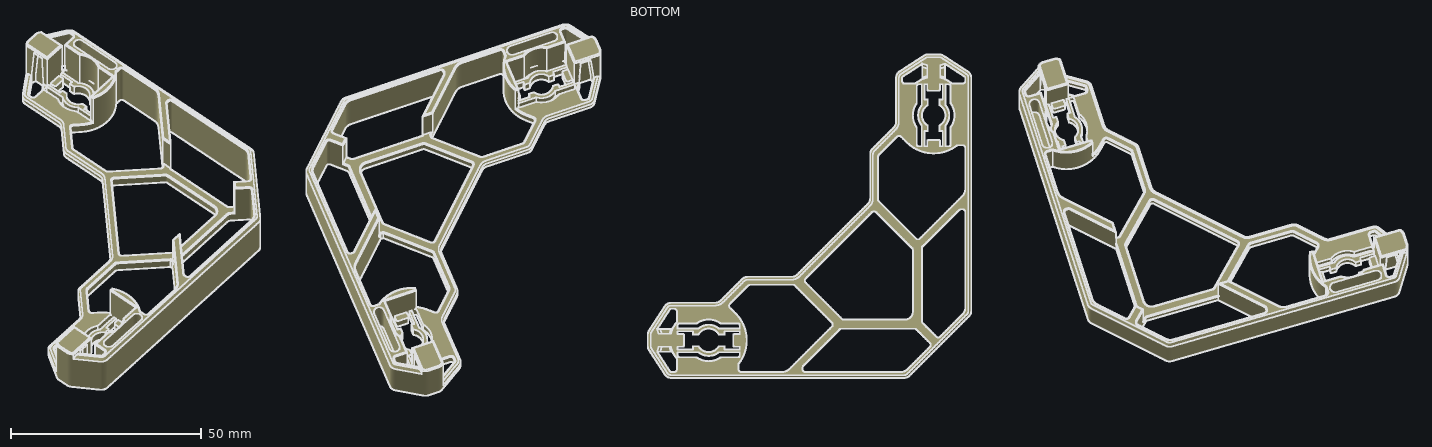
import cadquery as cq
import math

SIDE = 85.0
BLOCK_TOP = 14.6
WALL_TOP = 13.35
FLOOR_TOP = 3.1
TOP_CHAMFER = 0.85
BOTTOM_CHAMFER = 0.8
FLOOR_CHAMFER = 0.6
BLOCK_CHAMFER = 0.3
CORNER_RADIUS = 2.0
CELL_RADIUS = 0.7
STRUT_RADIUS = 3.0
RIM_RADIUS = 2.5
SLOT_CORNER_RADIUS = 0.4
EDGE_CHAMFER = 0.25

PAD_HALF = 9.9
PAD_Y = SIDE - PAD_HALF
END_TAPER = 5.1
END_HALF = 2.0
CORNER_CUT = 68.2
LOW_BAR_Y = 58.4
STEP_SUM = 83.8
INNER_SUM = 97.1

WALL = 1.6
RIM_STOCK = 1.5 * WALL
STRUT_STOCK = 2.55
LOW_BAR = 2.1
SLOPED_BAR = 2.4
FRAME_OUT = 72.1
FRAME_IN = 69.6
LINK_OUT = 22.1
LINK_IN = 18.45
LINK_TIP_X = 48.5
STRUT_LOW = 119.85
STRUT_HIGH = 122.7
STRUT_BLUNT_X = 40.7
CORNER_STRUT_SPAN = 1.7
CORNER_STRUT_END = 144.7

BLOCK_LENGTH = 7.9
BLOCK_HALF = 3.02
PAD_END_X = 24.1
PAD_X = (BLOCK_LENGTH + PAD_END_X) / 2
PAD_RADIUS = 10.0
PAD_WALL_END_X = 23.9
SLOT_HALF = 4.4
SLOT_RADIUS = 5.4
CLIP_HALF = 3.15
CLIP_RADIUS = 4.12
CLIP_BAR = 0.8
CLIP_HOLE_RADIUS = 3.1
LUG_REACH = 4.2
LUG_GAP_HALF = 1.49
TAB_LENGTH = 1.7
TAB_HALF = 1.7
END_WINDOW_X = 7.65
GUSSET_WIDTH = 1.2
GUSSET_LENGTH = 1.9

POCKET_START_X = 8.9
POCKET_END_X = 22.95
POCKET_WIDTH = 2.7
POCKET_Y = 82.1

RECESS_START_X = 2.5
RECESS_END_X = 6.55
RECESS_TOP = 13.3
RECESS_TAPER = 0.85
RECESS_DEPTH = 1.3
RECESS_DRAFT = 18.0


def prism(points, height, base=0.0):
    return cq.Workplane("XY").workplane(offset=base).polyline(points).close().extrude(height)


def box(x0, x1, y0, y1, top):
    return prism([(x0, y0), (x1, y0), (x1, y1), (x0, y1)], top)


def cylinder(radius, height):
    return cq.Workplane("XY").center(PAD_X, PAD_Y).circle(radius).extrude(height)


def pad_strip(half_width, height):
    return box(BLOCK_LENGTH, PAD_END_X, PAD_Y - half_width, PAD_Y + half_width, height)


def swap(solid):
    """Reflect a feature of the X leg onto the Y leg."""
    return solid.mirror(cq.Vector(1, -1, 0))


def round_corners(solid, points, radius):
    """Fillet the upright edges standing on the given x, y points."""
    for x, y in points:
        solid = solid.edges(cq.selectors.NearestToPointSelector((x, y, WALL_TOP / 2))).fillet(radius)
    return solid


def outline_points():
    leg = [
        (CORNER_CUT, SIDE),
        (END_TAPER, SIDE),
        (0, PAD_Y + END_HALF),
        (0, PAD_Y - END_HALF),
        (END_TAPER, PAD_Y - PAD_HALF),
        (STEP_SUM - PAD_Y + PAD_HALF, PAD_Y - PAD_HALF),
        (STEP_SUM - LOW_BAR_Y, LOW_BAR_Y),
        (INNER_SUM - LOW_BAR_Y, LOW_BAR_Y),
    ]
    return leg + [(y, x) for x, y in reversed(leg)]


def outline(height):
    return prism(outline_points(), height).edges("|Z").fillet(CORNER_RADIUS)


def chamfered_outline(height, top_chamfer):
    return outline(height).faces("<Z").chamfer(BOTTOM_CHAMFER).faces(">Z").chamfer(top_chamfer)


def outline_inset(distance):
    wire = outline(WALL_TOP).faces("<Z").wires().vals()[0]
    inset = wire.offset2D(-distance)[0]
    return cq.Workplane("XY").add(inset).toPending().extrude(WALL_TOP)


def tall_regions():
    """Stock of one leg's full-height walls, before the openings trim it to width."""
    rim = outline(WALL_TOP).cut(outline_inset(RIM_STOCK))
    bend = CORNER_CUT - CORNER_RADIUS
    rim_area = box(0, SIDE, PAD_Y, SIDE, WALL_TOP).union(box(bend, SIDE, bend, SIDE, WALL_TOP))
    rim = rim.intersect(rim_area)
    strut = prism(
        [
            (STRUT_LOW - STRUT_STOCK - SIDE, SIDE),
            (STRUT_LOW - STRUT_STOCK - FRAME_OUT, FRAME_OUT),
            (STRUT_HIGH + STRUT_STOCK - FRAME_OUT, FRAME_OUT),
            (STRUT_HIGH + STRUT_STOCK - SIDE, SIDE),
        ],
        WALL_TOP,
    ).intersect(outline(WALL_TOP))
    corner_strut = prism([(CORNER_STRUT_END - SIDE, SIDE), (SIDE, SIDE), (SIDE, CORNER_STRUT_END - SIDE)], WALL_TOP)
    corner_strut = corner_strut.intersect(box(FRAME_IN, SIDE, FRAME_IN, SIDE, WALL_TOP))
    corner_strut = corner_strut.intersect(outline(WALL_TOP))
    pad_wall = box(END_WINDOW_X, PAD_END_X, PAD_Y + SLOT_HALF, SIDE, WALL_TOP)
    end_plate = box(PAD_END_X, SIDE, PAD_Y - SLOT_HALF, SIDE, WALL_TOP)
    end_plate = end_plate.intersect(cylinder(PAD_RADIUS, WALL_TOP))
    block_side = box(0, BLOCK_LENGTH, PAD_Y - PAD_HALF, PAD_Y + BLOCK_HALF, WALL_TOP)
    walls = rim.union(strut).union(pad_wall).union(end_plate).union(corner_strut)
    return walls.cut(block_side)


def pad_cell():
    """Opening between the pad, the tall strut and the pentagon."""
    ceiling = SIDE - WALL
    floor = LOW_BAR_Y + LOW_BAR
    step_sum = STEP_SUM + SLOPED_BAR * math.sqrt(2)
    tangent_diff = PAD_Y - PAD_X - PAD_RADIUS * math.sqrt(2)
    reach = PAD_RADIUS / math.sqrt(2)
    wall_corner = (PAD_WALL_END_X, ceiling)
    strut_corner = (STRUT_LOW - ceiling, ceiling)
    bar_corners = [
        (floor - LINK_OUT, floor),
        (step_sum - floor, floor),
        ((step_sum - tangent_diff) / 2, (step_sum + tangent_diff) / 2),
    ]
    link_tip = [(LINK_TIP_X, STRUT_LOW - LINK_TIP_X), (LINK_TIP_X, LINK_TIP_X + LINK_OUT)]
    pad_side = [(PAD_X + reach, PAD_Y - reach), (PAD_WALL_END_X, PAD_Y)]
    cell = prism([wall_corner, strut_corner] + link_tip + bar_corners + pad_side, WALL_TOP)
    cell = cell.cut(cylinder(PAD_RADIUS, WALL_TOP))
    cell = round_corners(cell, [strut_corner], STRUT_RADIUS)
    return round_corners(cell, bar_corners + [wall_corner], CELL_RADIUS)


def rim_cell():
    """Opening between the tall strut, the cut-off corner and the pentagon."""
    ceiling = SIDE - WALL
    rim_sum = CORNER_CUT + SIDE - WALL * math.sqrt(2)
    rim_corner = (rim_sum - ceiling, ceiling)
    strut_foot = (STRUT_HIGH - FRAME_OUT, FRAME_OUT)
    corner_strut_foot = (FRAME_OUT - CORNER_STRUT_SPAN, FRAME_OUT)
    corner_strut_root = (rim_sum / 2 - CORNER_STRUT_SPAN / 2, rim_sum / 2 + CORNER_STRUT_SPAN / 2)
    blunt_end = [(STRUT_BLUNT_X, STRUT_HIGH - STRUT_BLUNT_X), (STRUT_BLUNT_X, ceiling)]
    cell = prism([rim_corner, corner_strut_root, corner_strut_foot, strut_foot] + blunt_end, WALL_TOP)
    cell = round_corners(cell, [rim_corner], RIM_RADIUS)
    return round_corners(cell, blunt_end + [corner_strut_root, corner_strut_foot], CELL_RADIUS)


def pentagon_cell():
    inner_sum = INNER_SUM + SLOPED_BAR * math.sqrt(2)
    square_corner = (FRAME_IN, FRAME_IN)
    other_corners = [
        (FRAME_IN - LINK_IN, FRAME_IN),
        ((inner_sum - LINK_IN) / 2, (inner_sum + LINK_IN) / 2),
        ((inner_sum + LINK_IN) / 2, (inner_sum - LINK_IN) / 2),
        (FRAME_IN, FRAME_IN - LINK_IN),
    ]
    cell = prism([square_corner] + other_corners, WALL_TOP)
    cell = round_corners(cell, [square_corner], CORNER_RADIUS)
    return round_corners(cell, other_corners, CELL_RADIUS)


def end_cells():
    """Openings on both sides of the end block, with gussets toward the pad."""
    area = box(0, END_WINDOW_X, PAD_Y - PAD_HALF, SIDE, WALL_TOP)
    block = box(0, BLOCK_LENGTH, PAD_Y - BLOCK_HALF, PAD_Y + BLOCK_HALF, WALL_TOP)
    cells = outline_inset(WALL).intersect(area).cut(block)
    cells = round_corners(cells, [(END_WINDOW_X, SIDE - WALL), (END_WINDOW_X, PAD_Y - PAD_HALF + WALL)], CELL_RADIUS)
    for side in (-1, 1):
        root = PAD_Y + side * BLOCK_HALF
        gusset = prism(
            [
                (END_WINDOW_X, root),
                (END_WINDOW_X - GUSSET_WIDTH, root),
                (END_WINDOW_X, root + side * GUSSET_LENGTH),
            ],
            WALL_TOP,
        )
        cells = cells.cut(gusset)
    return cells


def clip_slot():
    """Space around the latch clip, open through the pad floor."""
    strip = pad_strip(SLOT_HALF, BLOCK_TOP).edges("|Z").fillet(SLOT_CORNER_RADIUS)
    return strip.union(cylinder(SLOT_RADIUS, BLOCK_TOP))


def clip():
    """Spring clip bridging the slot, with four lugs and two end tabs."""
    lugs = box(PAD_X - LUG_REACH, PAD_X + LUG_REACH, PAD_Y - CLIP_HALF, PAD_Y + CLIP_HALF, FLOOR_TOP)
    lugs = lugs.cut(pad_strip(LUG_GAP_HALF, FLOOR_TOP))
    bars = pad_strip(CLIP_HALF, FLOOR_TOP).cut(pad_strip(CLIP_HALF - CLIP_BAR, FLOOR_TOP))
    ring = cylinder(CLIP_RADIUS, FLOOR_TOP).cut(pad_strip(LUG_GAP_HALF, FLOOR_TOP))
    clip_body = bars.union(lugs).union(ring).cut(cylinder(CLIP_HOLE_RADIUS, FLOOR_TOP))
    tab_bounds = (PAD_Y - TAB_HALF, PAD_Y + TAB_HALF, FLOOR_TOP)
    block_tab = box(BLOCK_LENGTH, BLOCK_LENGTH + TAB_LENGTH, *tab_bounds)
    plate_tab = box(PAD_END_X - TAB_LENGTH, PAD_END_X, *tab_bounds)
    block_tab = block_tab.edges("|Z and >X").fillet(SLOT_CORNER_RADIUS)
    plate_tab = plate_tab.edges("|Z and <X").fillet(SLOT_CORNER_RADIUS)
    return clip_body.union(block_tab).union(plate_tab)


def end_block():
    """Tall block at the tip of the leg."""
    area = box(0, BLOCK_LENGTH, PAD_Y - BLOCK_HALF, PAD_Y + BLOCK_HALF, BLOCK_TOP)
    block = outline(BLOCK_TOP).faces("<Z").chamfer(BOTTOM_CHAMFER).intersect(area)
    return block.faces(">Z").chamfer(BLOCK_CHAMFER)


def block_recess(side):
    """Tapered, drafted recess in one side of the end block, open at the bottom."""
    profile = [
        (RECESS_START_X, -RECESS_DEPTH),
        (RECESS_END_X, -RECESS_DEPTH),
        (RECESS_END_X, FLOOR_TOP),
        (RECESS_END_X - RECESS_TAPER / 2, RECESS_TOP),
        (RECESS_START_X + RECESS_TAPER, RECESS_TOP),
        (RECESS_START_X, FLOOR_TOP),
    ]
    plane = cq.Workplane("XZ", origin=(0, PAD_Y + side * BLOCK_HALF, 0))
    return plane.polyline(profile).close().extrude(side * RECESS_DEPTH, taper=RECESS_DRAFT)


def wall_pocket():
    """Round-ended pocket in the tall wall beside the pad, down to the floor."""
    length = POCKET_END_X - POCKET_START_X
    return (
        cq.Workplane("XY")
        .workplane(offset=FLOOR_TOP)
        .center((POCKET_START_X + POCKET_END_X) / 2, POCKET_Y)
        .slot2D(length, POCKET_WIDTH)
        .extrude(WALL_TOP)
    )


def up_to_diagonal(solid):
    return solid.intersect(prism([(0, 0), (SIDE, SIDE), (0, SIDE)], BLOCK_TOP))


frame = outline(FLOOR_TOP)
walls = tall_regions()
for opening in (pentagon_cell(), pad_cell(), rim_cell(), swap(rim_cell()), end_cells()):
    frame = frame.cut(opening)
    walls = walls.cut(opening)
walls = walls.cut(clip_slot())
frame = frame.faces(">Z").edges().chamfer(EDGE_CHAMFER)
walls = walls.faces(">Z").edges().chamfer(EDGE_CHAMFER)
frame = frame.intersect(chamfered_outline(FLOOR_TOP, FLOOR_CHAMFER))
walls = walls.intersect(chamfered_outline(WALL_TOP, TOP_CHAMFER))

body = frame.cut(clip_slot()).union(walls).cut(wall_pocket()).union(clip()).union(end_block())
for side in (-1, 1):
    body = body.cut(block_recess(side))

leg_half = up_to_diagonal(body)
result = leg_half.union(swap(leg_half))